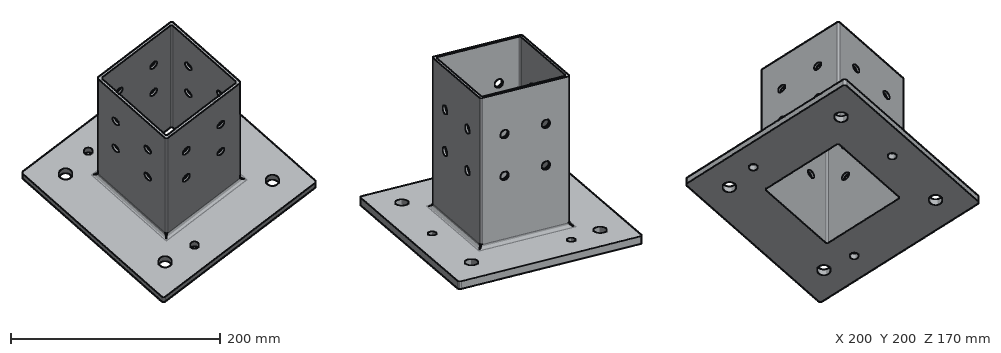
import cadquery as cq
import math

plate_side = 200.0
plate_thickness = 8.5
plate_corner_radius = 2.5

total_height = 170.0
tube_side = 97.5
wall = 3.0
tube_outer_radius = 2.0
bore_side = tube_side - 2 * wall
bore_corner_radius = 1.5

weld_radius = 3.8

anchor_diameter = 13.0
anchor_spacing = 140.0
levelling_diameter = 8.5
levelling_offset = 74.8
levelling_pair_y = -36.0
cross_diameter = 9.0
cross_spacing = 45.0
cross_centre_from_top = 1.5 * cross_spacing


def square_prism(side, bottom, top, corner_radius):
    """Upright square prism with rounded vertical edges."""
    prism = cq.Workplane("XY").workplane(offset=bottom).rect(side, side).extrude(top - bottom)
    return prism.edges("|Z").fillet(corner_radius)


def weld_corner_trim():
    """Elliptical cutter that blunts one weld mitre, from the rounded tube corner down to the sharp foot."""
    weld_top = plate_thickness + weld_radius
    corner_inset = (math.sqrt(2) - 1) * tube_outer_radius
    tube_corner = math.sqrt(2) * tube_side / 2 - corner_inset
    foot_corner = math.sqrt(2) * (tube_side / 2 + weld_radius)
    return (
        cq.Workplane("XZ")
        .center(foot_corner, weld_top)
        .ellipse(foot_corner - tube_corner, weld_radius)
        .extrude(weld_radius, both=True)
        .rotate((0, 0, 0), (0, 0, 1), 45)
    )


def weld_collar():
    """Concave weld with blunted mitres, on a sharp-cornered square around the tube."""
    weld_top = plate_thickness + weld_radius
    foot_side = tube_side + 2 * weld_radius
    half_foot = foot_side / 2
    block = cq.Workplane("XY").box(foot_side, foot_side, weld_radius, centered=(True, True, False))
    block = block.translate((0, 0, plate_thickness))
    for angle in (0, 90, 180, 270):
        groove = (
            cq.Workplane("YZ")
            .center(half_foot, weld_top)
            .circle(weld_radius)
            .extrude(half_foot, both=True)
            .rotate((0, 0, 0), (0, 0, 1), angle)
        )
        trim = weld_corner_trim().rotate((0, 0, 0), (0, 0, 1), angle)
        block = block.cut(groove).cut(trim)
    return block


def cross_holes(plane):
    """Four holes in a square pattern through both opposite tube walls."""
    return (
        cq.Workplane(plane)
        .center(0, total_height - cross_centre_from_top)
        .rect(cross_spacing, cross_spacing, forConstruction=True)
        .vertices()
        .circle(cross_diameter / 2)
        .extrude(tube_side, both=True)
    )


plate = square_prism(plate_side, 0, plate_thickness, plate_corner_radius)
plate = (
    plate.faces(">Z").workplane()
    .rect(anchor_spacing, anchor_spacing, forConstruction=True)
    .vertices()
    .hole(anchor_diameter)
)
levelling_points = [
    (0, levelling_offset),
    (-levelling_offset, levelling_pair_y),
    (levelling_offset, levelling_pair_y),
]
plate = plate.faces(">Z").workplane().pushPoints(levelling_points).hole(levelling_diameter)

tube = square_prism(tube_side, 0, total_height, tube_outer_radius)
bore = square_prism(bore_side, 0, total_height, bore_corner_radius)

result = plate.union(weld_collar()).union(tube).cut(bore)
for side_plane in ("XZ", "YZ"):
    result = result.cut(cross_holes(side_plane))